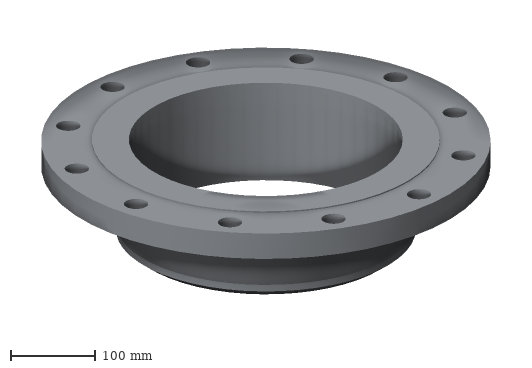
import cadquery as cq

flange_diameter = 533.5
height = 127.0
flange_thickness = 34.5
raised_face_diameter = 413.0
raised_face_height = 1.5
bore_diameter = 325.0

bolt_count = 12
bolt_circle_diameter = 476.5
bolt_hole_diameter = 29.0

neck_diameter = 356.0
neck_top = 18.0
bevel_height = 9.5
bevel_land = 2.5
hub_top_diameter = 396.0
hub_top = 85.5
hub_root_diameter = 404.5

flange_radius = flange_diameter / 2
raised_face_radius = raised_face_diameter / 2
bore_radius = bore_diameter / 2
neck_radius = neck_diameter / 2
hub_top_radius = hub_top_diameter / 2
hub_root_radius = hub_root_diameter / 2
flange_bottom = height - flange_thickness
flange_top = height - raised_face_height


def flange_body():
    """Revolve the flange, conical hub and bevelled neck around Z."""
    return (
        cq.Workplane("XZ")
        .moveTo(bore_radius, 0)
        .lineTo(bore_radius + bevel_land, 0)
        .lineTo(neck_radius, bevel_height)
        .lineTo(neck_radius, neck_top)
        .lineTo(hub_top_radius, hub_top)
        .lineTo(hub_root_radius, flange_bottom)
        .lineTo(flange_radius, flange_bottom)
        .lineTo(flange_radius, flange_top)
        .lineTo(raised_face_radius, flange_top)
        .lineTo(raised_face_radius, height)
        .lineTo(bore_radius, height)
        .close()
        .revolve(360, (0, 0, 0), (0, 1, 0))
    )


def bolt_holes():
    """Cylinders through the flange plate, with the first on +X."""
    return (
        cq.Workplane("XY")
        .workplane(offset=flange_bottom)
        .polarArray(bolt_circle_diameter / 2, 0, 360, bolt_count)
        .circle(bolt_hole_diameter / 2)
        .extrude(flange_thickness)
    )


result = flange_body().cut(bolt_holes())